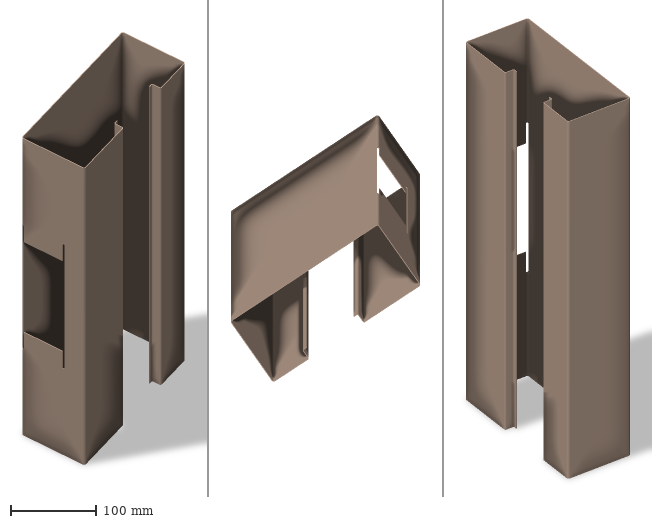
import cadquery as cq

length = 500.0
width = 90.0
depth = 210.0
sheet = 1.0
corner_bend = 3.0
lip_bend = 2.0

opening_center_y = 15.0
opening_width = 77.0
flange_depth = 13.5
lip_height = 6.0

window_height = 152.0
slit_height = 210.0
slit_width = 3.0
right_slit_x = 15.0
left_slit_x = -43.0

half_width = width / 2
half_depth = depth / 2


def half_skin(side, inset):
    """Corners of one sheet face from corner bend to lip end, at a depth inset into the sheet.

    An inset of zero is the outside face. The +Y half has side = 1 and the -Y half has side = -1.
    """
    wall_x = half_width - inset
    lip_x = half_width - flange_depth + sheet - inset
    wall_y = side * (half_depth - inset)
    edge_y = opening_center_y + side * opening_width / 2
    flange_y = edge_y + side * inset
    lip_end_y = edge_y + side * (sheet - lip_height)
    return [(-wall_x, wall_y), (wall_x, wall_y), (wall_x, flange_y), (lip_x, flange_y), (lip_x, lip_end_y)]


def round_bends(body, corners, radius):
    """Fillet the vertical edges that stand at the given XY corners."""
    for x, y in corners:
        body = body.edges(cq.selectors.NearestToPointSelector((x, y, 0))).fillet(radius)
    return body


def make_channel():
    """Folded C-profile with lipped edges and rounded bends."""
    outside = half_skin(-1, 0)[::-1] + half_skin(1, 0)
    inside = half_skin(-1, sheet)[::-1] + half_skin(1, sheet)
    body = cq.Workplane("XY").polyline(outside + inside[::-1]).close().extrude(length / 2, both=True)

    for side in (1, -1):
        *outside_corners, outside_flange, outside_lip, _ = half_skin(side, 0)
        *inside_corners, inside_flange, inside_lip, _ = half_skin(side, sheet)
        body = round_bends(body, outside_corners, corner_bend)
        body = round_bends(body, inside_corners, corner_bend - sheet)
        body = round_bends(body, [outside_flange, inside_lip], lip_bend)
        body = round_bends(body, [inside_flange, outside_lip], lip_bend - sheet)
    return body


def make_window_cutter():
    """Window and its two relief slits, cutting through the -Y wall and the edge of the corner bend."""
    window_width = right_slit_x - left_slit_x + slit_width
    window_center_x = (right_slit_x + left_slit_x) / 2
    wall_plane = cq.Workplane("XZ", origin=(0, -half_depth, 0))
    cut_depth = corner_bend
    window = wall_plane.center(window_center_x, 0).rect(window_width, window_height).extrude(-cut_depth)
    slits = (
        wall_plane.pushPoints([(left_slit_x, 0), (right_slit_x, 0)])
        .slot2D(slit_height, slit_width, 90)
        .extrude(-cut_depth)
    )
    return window.union(slits)


result = make_channel().cut(make_window_cutter())